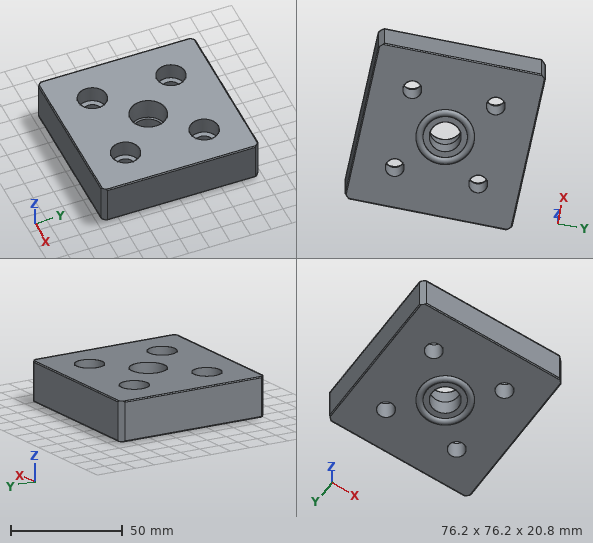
import cadquery as cq

plate_side = 76.2
plate_thickness = 19.05
corner_chamfer = 2.286
rim_chamfer = 0.508

screw_spacing = 38.1
screw_hole_diameter = 8.4
counterbore_diameter = 13.5
counterbore_depth = 8.0

socket_top_diameter = 17.15
socket_depth = 10.0
socket_taper = 1 / 16
socket_floor_diameter = socket_top_diameter - socket_taper * socket_depth
bore_diameter = 14.2

overall_height = 20.76
ring_outer_diameter = 26.2
ring_section_diameter = 3.2
ring_section_radius = ring_section_diameter / 2
ring_center_radius = ring_outer_diameter / 2 - ring_section_radius
ring_projection = overall_height - plate_thickness
ring_center_height = ring_section_radius - ring_projection
groove_depth = ring_section_diameter - ring_projection


def make_plate_blank():
    """Square block with beveled rims, its vertical corners cut off flat."""
    block = (
        cq.Workplane("XY")
        .rect(plate_side, plate_side)
        .extrude(plate_thickness)
        .faces("<Z or >Z")
        .chamfer(rim_chamfer)
    )
    corner_trim = (
        cq.Workplane("XY")
        .rect(plate_side, plate_side)
        .extrude(plate_thickness)
        .edges("|Z")
        .chamfer(corner_chamfer)
    )
    return block.intersect(corner_trim)


def make_port():
    """Cutter for the central port: straight bore with a socket tapering down from the top."""
    bore = cq.Workplane("XY").circle(bore_diameter / 2).extrude(plate_thickness)
    socket = cq.Workplane(
        cq.Solid.makeCone(
            socket_floor_diameter / 2,
            socket_top_diameter / 2,
            socket_depth,
            pnt=cq.Vector(0, 0, plate_thickness - socket_depth),
        )
    )
    return bore.union(socket)


def make_groove():
    """Square-sided groove as wide as the ring section and just deep enough to seat it."""
    return (
        cq.Workplane("XY")
        .circle(ring_center_radius + ring_section_radius)
        .circle(ring_center_radius - ring_section_radius)
        .extrude(groove_depth)
    )


def make_plate():
    """Plate with counterbored screw holes, central port and seal groove."""
    drilled = (
        make_plate_blank()
        .faces(">Z")
        .workplane(origin=(0, 0, plate_thickness))
        .rect(screw_spacing, screw_spacing, forConstruction=True)
        .vertices()
        .cboreHole(screw_hole_diameter, counterbore_diameter, counterbore_depth)
    )
    return drilled.cut(make_port()).cut(make_groove())


def make_seal_ring():
    """Round-section ring."""
    return cq.Workplane(
        cq.Solid.makeTorus(
            ring_center_radius,
            ring_section_radius,
            pnt=cq.Vector(0, 0, ring_center_height),
        )
    )


plate = make_plate()
seal_ring = make_seal_ring()

result = cq.Compound.makeCompound([plate.val(), seal_ring.val()])